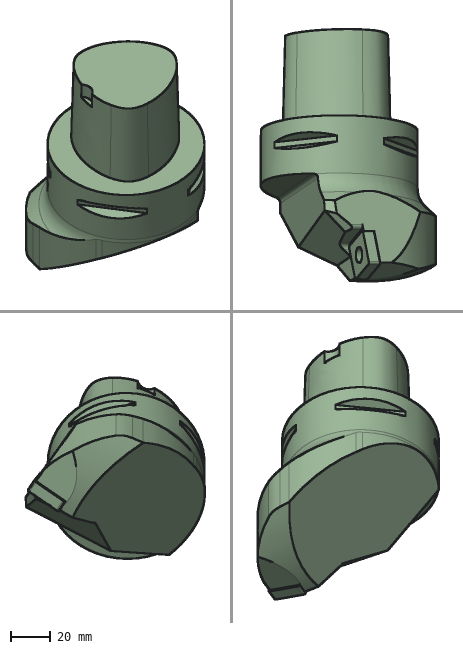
import cadquery as cq
import math


shank_length = 48.0
shank_base_diameter = 55.0
shank_taper = 1 / 20
lobe_eccentricity = 2.0
lobe_count = 3
lobe_direction = 90.0
corner_half_angle = 33.0
spline_spans = 4

key_width = 9.8
key_depth = 2.6
key_length = 8.2

flange_diameter = 80.0
flange_height = 30.0
groove_center_z = -12.0
groove_floor_distance = 35.7
groove_floor_height = 3.0
groove_flank_angle = 30.0
groove_count = 4

neck_radius = 15.0
neck_angle = 45.0
head_bottom_z = -90.0

rear_wall_y = 21.3
left_arc_center = (-3.08, 3.19)
left_arc_radius = 51.9
left_arc_end_x = -25.9
front_wall_y = -45.2
front_wall_left_x = -17.5
front_wall_right_x = -11.7
front_arc_end = (22.3, -33.4)
flange_side_radius = 40.14
flange_side_start_x = 24.9

relief_slope = 5.0
relief_corner_radius = 2.5

slant_top = (40.1, -32.7)
slant_angle = 36.5
belly_radius = 85.5
belly_bottom_z = -83.7

insert_side = 19.05
insert_thickness = 6.35
insert_hole_diameter = 7.92
insert_nose_radius = 1.2
insert_lead = 15.0
insert_tilt = 6.0
insert_corner = (-55.27, 0.4, -79.73)
end_clearance = 1.0

side_face_points = [(-42.7, -30.3, -49.2), (-52.2, -13.5, -77.0), (-47.4, 16.3, -46.6)]
rear_facet_points = [(-47.4, 16.3, -46.6), (-49.1, 15.9, -53.3), (-46.2, 21.3, -51.6)]
back_chamfer_points = [(-46.2, 21.3, -51.6), (-49.1, 15.9, -53.3), (-49.5, 9.3, -58.9)]
back_face_points = [(-46.2, 21.3, -51.6), (-49.5, 10.3, -61.4), (-4.9, 15.05, -66.0)]

pocket_gap = 1.4
pocket_floor_drop = 0.7
pocket_wall = insert_side + pocket_gap
pocket_fillet = 2.5
pocket_lip_radius = 2.0
pocket_lip_depth = 5.0

OVERSIZE = 200.0


def half_space(point, outward):
    """Large block on the outward side of a plane, used as a cutter."""
    plane = cq.Plane(origin=tuple(point), normal=tuple(outward))
    return cq.Workplane(plane).rect(OVERSIZE, OVERSIZE).extrude(OVERSIZE)


def plane_through(a, b, c, outward_hint):
    """Cutter bounded by three points, on the side that outward_hint points to."""
    a, b, c = cq.Vector(a), cq.Vector(b), cq.Vector(c)
    normal = (b - a).cross(c - a).normalized()
    if normal.dot(cq.Vector(outward_hint)) < 0:
        normal = -normal
    return half_space(a.toTuple(), normal.toTuple())


def polygon_point(diameter, angle):
    """Point and tangent of the three-lobed profile whose normal points at angle."""
    phase = math.radians(lobe_count * (angle - lobe_direction))
    reach = diameter / 2 + lobe_eccentricity * math.cos(phase)
    slide = -lobe_count * lobe_eccentricity * math.sin(phase)
    c, s = math.cos(math.radians(angle)), math.sin(math.radians(angle))
    point = cq.Vector(reach * c - slide * s, reach * s + slide * c)
    return point, cq.Vector(-s, c)


def polygon_wire(diameter, z):
    """Closed profile made of alternating sharp corners and long flanks."""
    lift = cq.Vector(0, 0, z)
    pitch = 360 / lobe_count
    edges = []
    for lobe in range(lobe_count):
        middle = lobe_direction + lobe * pitch
        breaks = [
            middle - corner_half_angle,
            middle + corner_half_angle,
            middle + pitch - corner_half_angle,
        ]
        for first, last in zip(breaks, breaks[1:]):
            step = (last - first) / spline_spans
            steps = [first + step * k for k in range(spline_spans + 1)]
            points = [polygon_point(diameter, a)[0] + lift for a in steps]
            tangents = [polygon_point(diameter, a)[1] for a in (first, last)]
            edges.append(cq.Edge.makeSpline(points, tangents=tangents))
    return cq.Wire.assembleEdges(edges)


def make_shank():
    top_diameter = shank_base_diameter - shank_length * shank_taper
    base = polygon_wire(shank_base_diameter, 0)
    top = polygon_wire(top_diameter, shank_length)
    shank = cq.Workplane(cq.Solid.makeLoft([base, top], True))
    top_flat_y = -(top_diameter / 2 - lobe_eccentricity)
    key_radius = ((key_width / 2) ** 2 + key_depth**2) / (2 * key_depth)
    key_center = (0, top_flat_y + key_depth - key_radius, shank_length - key_length)
    key = (
        cq.Workplane("XY", origin=key_center)
        .circle(key_radius)
        .extrude(key_length)
    )
    return shank.cut(key)


def make_flange():
    flange = cq.Workplane("XY").circle(flange_diameter / 2).extrude(-flange_height)
    depth = flange_diameter / 2 - groove_floor_distance
    half_floor = groove_floor_height / 2
    half_mouth = half_floor + depth * math.tan(math.radians(groove_flank_angle))
    groove = (
        cq.Workplane("XZ")
        .polyline([
            (groove_floor_distance, groove_center_z - half_floor),
            (groove_floor_distance, groove_center_z + half_floor),
            (flange_diameter / 2, groove_center_z + half_mouth),
            (flange_diameter / 2, groove_center_z - half_mouth),
        ])
        .close()
        .extrude(flange_diameter / 2, both=True)
    )
    pitch = 360 / groove_count
    for k in range(groove_count):
        flange = flange.cut(groove.rotate((0, 0, 0), (0, 0, 1), (k + 0.5) * pitch))
    return flange


def make_neck():
    """Body of revolution: concave flare under the flange, then a cone."""
    angle = math.radians(neck_angle)
    r0 = flange_diameter / 2
    center_r = r0 + neck_radius
    arc_mid = (
        center_r - neck_radius * math.cos(angle / 2),
        -flange_height - neck_radius * math.sin(angle / 2),
    )
    arc_end = (
        center_r - neck_radius * math.cos(angle),
        -flange_height - neck_radius * math.sin(angle),
    )
    cone_r = arc_end[0] + (arc_end[1] - head_bottom_z) * math.tan(angle)
    return (
        cq.Workplane("XZ")
        .moveTo(0, -flange_height)
        .lineTo(r0, -flange_height)
        .threePointArc(arc_mid, arc_end)
        .lineTo(cone_r, head_bottom_z)
        .lineTo(0, head_bottom_z)
        .close()
        .revolve(360, (0, 0, 0), (0, 1, 0))
    )


def left_arc_point(angle):
    """Point on the left arc of the plan outline, at an angle from +X."""
    cx, cy = left_arc_center
    return cx + left_arc_radius * math.cos(angle), cy + left_arc_radius * math.sin(angle)


def make_outline():
    """Vertical prism that bounds the head in plan."""
    side_start = (flange_side_start_x, -math.sqrt(flange_side_radius**2 - flange_side_start_x**2))
    rear_y = rear_wall_y + relief_corner_radius
    side_end = (math.sqrt(flange_side_radius**2 - rear_y**2), rear_y)
    start_angle = math.pi - math.asin((rear_y - left_arc_center[1]) / left_arc_radius)
    end_angle = 2 * math.pi - math.acos((left_arc_end_x - left_arc_center[0]) / left_arc_radius)
    end_tangent = (-math.sin(end_angle), math.cos(end_angle))
    return (
        cq.Workplane("XY", origin=(0, 0, head_bottom_z))
        .moveTo(*side_end)
        .lineTo(*left_arc_point(start_angle))
        .threePointArc(left_arc_point((start_angle + end_angle) / 2), left_arc_point(end_angle))
        .spline([(front_wall_left_x, front_wall_y)], tangents=[end_tangent, (1, 0)], includeCurrent=True)
        .lineTo(front_wall_right_x, front_wall_y)
        .tangentArcPoint(front_arc_end, relative=False)
        .lineTo(*side_start)
        .threePointArc((flange_side_radius, 0), side_end)
        .close()
        .extrude(-head_bottom_z - flange_height)
    )


def make_belly():
    """Cylinder along X that rounds the underside of the head."""
    return (
        cq.Workplane("YZ", origin=(-OVERSIZE / 2, 0, 0))
        .center(0, belly_bottom_z + belly_radius)
        .circle(belly_radius)
        .extrude(OVERSIZE)
    )


def make_relief():
    """Space behind the rear wall, under the gently sloped back of the flange."""
    edge_y = flange_side_radius
    slope = math.tan(math.radians(relief_slope))
    top_z = -flange_height + slope * (edge_y - rear_wall_y)
    return (
        cq.Workplane("YZ", origin=(-OVERSIZE / 2, 0, 0))
        .moveTo(rear_wall_y, head_bottom_z)
        .lineTo(rear_wall_y, -flange_height)
        .lineTo(edge_y, top_z)
        .lineTo(edge_y, head_bottom_z)
        .close()
        .extrude(OVERSIZE)
        .edges(cq.selectors.NearestToPointSelector((0, rear_wall_y, -flange_height)))
        .fillet(relief_corner_radius)
    )


def make_insert_plane():
    lead = math.radians(insert_lead)
    rise = math.tan(math.radians(insert_tilt))
    edge_up = cq.Vector(math.sin(lead), rise, math.cos(lead)).normalized()
    edge_across = cq.Vector(math.cos(lead), rise, -math.sin(lead))
    rake_normal = edge_up.cross(edge_across).normalized()
    return cq.Plane(origin=insert_corner, xDir=rake_normal.cross(edge_up), normal=rake_normal)


insert_plane = make_insert_plane()


def insert_plate():
    """Solid square plate with rounded corners, rake face on the insert plane."""
    return (
        cq.Workplane(insert_plane)
        .rect(insert_side, -insert_side, centered=False)
        .extrude(-insert_thickness)
        .edges(cq.selectors.ParallelDirSelector(insert_plane.zDir))
        .fillet(insert_nose_radius)
    )


def make_insert():
    hole = (
        cq.Workplane(insert_plane)
        .center(insert_side / 2, -insert_side / 2)
        .circle(insert_hole_diameter / 2)
        .extrude(-insert_thickness)
    )
    return insert_plate().cut(hole)


def near(x, y, z):
    """Selector of the edge nearest to a place given in insert coordinates."""
    return cq.selectors.NearestToPointSelector(insert_plane.toWorldCoords((x, y, z)).toTuple())


def make_chip_pocket():
    """Open corner pocket above the rake face, walled above and beside the insert."""
    size = OVERSIZE / 2
    return (
        cq.Workplane(insert_plane)
        .workplane(offset=-pocket_floor_drop)
        .moveTo(pocket_wall, -pocket_wall)
        .lineTo(pocket_wall, size)
        .lineTo(-size, size)
        .lineTo(-size, -pocket_wall)
        .close()
        .extrude(size)
        .edges(near(pocket_wall, -pocket_wall, size / 2))
        .fillet(pocket_fillet)
    )


def make_head():
    slant = math.radians(slant_angle)
    slant_point = (slant_top[0], 0, slant_top[1])
    end_point = insert_plane.toWorldCoords((0, -end_clearance, 0)).toTuple()
    floor_point = insert_plane.toWorldCoords((0, 0, -pocket_floor_drop)).toTuple()
    above_floor = half_space(floor_point, insert_plane.zDir.toTuple())

    head = make_neck().intersect(make_outline()).intersect(make_belly())
    cutters = [
        half_space(slant_point, (math.sin(slant), 0, -math.cos(slant))),
        half_space(end_point, insert_plane.yDir.toTuple()),
        plane_through(*side_face_points, (-1, 0, 0)),
        plane_through(*rear_facet_points, (-1, 1, 0)),
        plane_through(*back_chamfer_points, (-1, 1, -1)).intersect(above_floor),
        plane_through(*back_face_points, (0, 1, -1)).intersect(above_floor),
        make_chip_pocket(),
    ]
    for cutter in cutters:
        head = head.cut(cutter)
    return head.edges(near(0, -pocket_wall, pocket_lip_depth / 2)).fillet(pocket_lip_radius)


def make_holder():
    """Shank, flange and head in one piece, with a seat for the insert."""
    holder = make_shank().union(make_flange()).union(make_head())
    return holder.cut(make_relief()).cut(insert_plate())


holder = make_holder()
insert = make_insert()

result = cq.Compound.makeCompound([holder.val(), insert.val()])